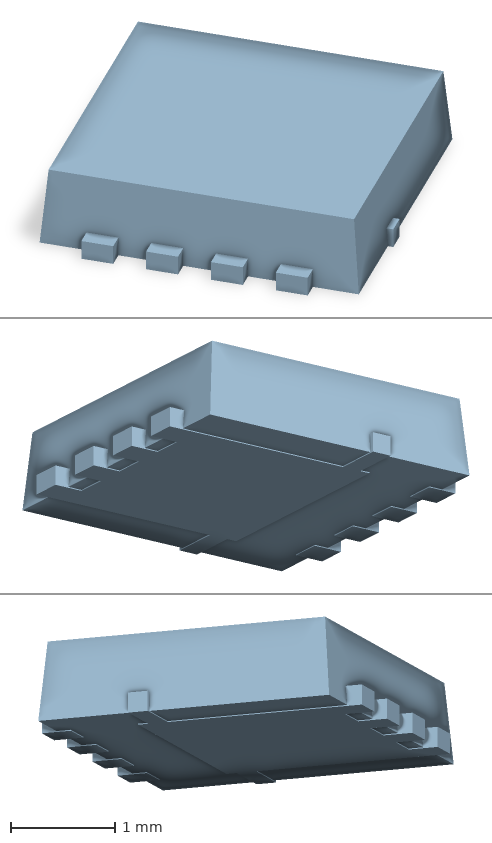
import cadquery as cq

overall_span = 3.3
overall_height = 0.8
standoff = 0.01

housing_length = 3.2
housing_width = 3.0
draft_angle = 5.0

metal_thickness = 0.198
lead_count = 4
lead_pitch = 0.65
lead_width = 0.32
lead_length = 0.3

pad_front_y = -0.657
tie_bar_width = 0.2
tie_bar_y = -0.452

lead_xs = [(index - (lead_count - 1) / 2) * lead_pitch for index in range(lead_count)]
lead_center_y = (overall_span - lead_length) / 2
pad_back_y = overall_span / 2 - lead_length
pad_length = (lead_count - 1) * lead_pitch + lead_width
pad_width = pad_back_y - pad_front_y
pad_center_y = (pad_back_y + pad_front_y) / 2


def metal_plate(length, width, x, y):
    """Flat metal block of the common thickness, standing on Z = 0."""
    return (
        cq.Workplane("XY")
        .center(x, y)
        .rect(length, width)
        .extrude(metal_thickness)
    )


def make_source_lead(x):
    """One separate lead of the row on the -Y side."""
    return metal_plate(lead_width, lead_length, x, -lead_center_y)


def make_drain_frame():
    """Drain pad in one piece with its four +Y leads and the tie bar through both ends."""
    frame = metal_plate(pad_length, pad_width, 0, pad_center_y)
    for x in lead_xs:
        frame = frame.union(metal_plate(lead_width, lead_length, x, lead_center_y))
    tie_bar = metal_plate(overall_span, tie_bar_width, 0, tie_bar_y)
    return frame.union(tie_bar).clean()


def make_housing(embedded_metal):
    """Drafted block with recesses that fit the embedded metal."""
    housing = (
        cq.Workplane("XY")
        .workplane(offset=standoff)
        .rect(housing_length, housing_width)
        .extrude(overall_height - standoff, taper=draft_angle)
    )
    for metal in embedded_metal:
        housing = housing.cut(metal)
    return housing


source_leads = [make_source_lead(x) for x in lead_xs]
drain_frame = make_drain_frame()
housing = make_housing([drain_frame, *source_leads])

result = cq.Compound.makeCompound(
    [housing.solids().val(), drain_frame.solids().val(), *[lead.val() for lead in source_leads]]
)